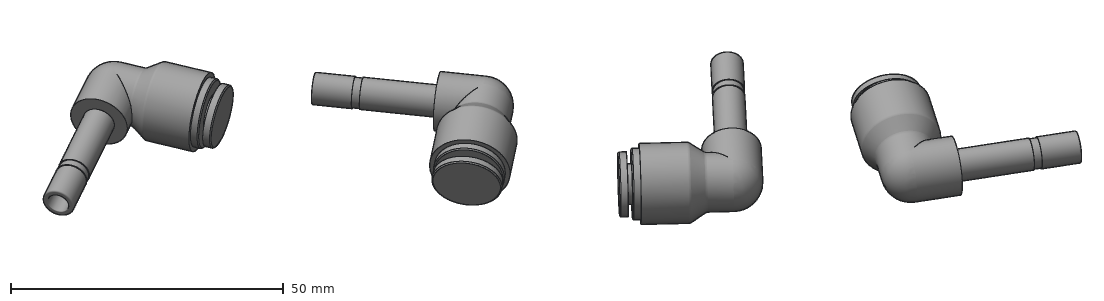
import cadquery as cq

OVERALL_LENGTH = 38.95
OVERALL_WIDTH = 26.45

ELBOW_RADIUS = 11.0 / 2
ELBOW_FACE_DISTANCE = 8.5
BARREL_RADIUS = 14.9 / 2
FLARE_START_X = 5.0
BARREL_START_X = 8.02
BARREL_END_X = 17.05
FLARE_BLEND_RADIUS = 0.78
FLARE_EDGE_MARGIN = 0.4

STEM_RADIUS = 6.0 / 2
STEM_BORE_RADIUS = 4.0 / 2
STEM_TIP_DISTANCE = OVERALL_LENGTH - BARREL_RADIUS
STEM_LENGTH = STEM_TIP_DISTANCE - ELBOW_FACE_DISTANCE
STEM_TIP_RADIUS = 0.3
BORE_EDGE_RADIUS = 0.1
GROOVE_RADIUS = 5.7 / 2
GROOVE_WIDTH = 1.48
GROOVE_TO_TIP = 7.45
GROOVE_START_DISTANCE = STEM_TIP_DISTANCE - GROOVE_TO_TIP - GROOVE_WIDTH

RING_RADIUS = 13.15 / 2
RING_LENGTH = 1.5
RING_EDGE_CHAMFER = 0.25

NECK_RADIUS = 7.5 / 2
NECK_ROOT_RADIUS = 0.08
FLANGE_THICKNESS = 1.55
FLANGE_WIDTH = 12.97
FLANGE_HEIGHT = 11.0
FLANGE_EDGE_CHAMFER = 0.25
FLANGE_START_X = OVERALL_WIDTH - ELBOW_RADIUS - FLANGE_THICKNESS


def plane_across_socket(x):
    """Plane at X = x that faces +X, with local x along Y and local y along Z."""
    return cq.Workplane("YZ", origin=(x, 0, 0))


def plane_across_stem(distance):
    """Plane at Y = -distance that faces -Y, away from the elbow."""
    return cq.Workplane("XZ", origin=(0, -distance, 0))


def make_barrel():
    """Elbow arm, flare and barrel turned about X, with blended flare corners."""
    profile = (
        cq.Workplane("XY")
        .moveTo(0, 0)
        .lineTo(0, ELBOW_RADIUS)
        .lineTo(FLARE_START_X, ELBOW_RADIUS)
        .lineTo(BARREL_START_X, BARREL_RADIUS)
        .lineTo(BARREL_END_X, BARREL_RADIUS)
        .lineTo(BARREL_END_X, 0)
        .close()
    )
    barrel = profile.revolve(360, (0, 0, 0), (1, 0, 0))
    flare_zone = cq.selectors.BoxSelector(
        (FLARE_START_X - FLARE_EDGE_MARGIN, -BARREL_RADIUS, -BARREL_RADIUS),
        (BARREL_START_X + FLARE_EDGE_MARGIN, BARREL_RADIUS, BARREL_RADIUS),
    )
    return barrel.edges("%CIRCLE").edges(flare_zone).fillet(FLARE_BLEND_RADIUS)


def make_stem():
    """Tube from the elbow face to the tip, with rounded tip edges and a ring groove."""
    tube = plane_across_stem(ELBOW_FACE_DISTANCE).circle(STEM_RADIUS).extrude(STEM_LENGTH)
    tube = tube.faces("<Y").edges().fillet(STEM_TIP_RADIUS)
    bore = plane_across_stem(ELBOW_FACE_DISTANCE).circle(STEM_BORE_RADIUS).extrude(STEM_LENGTH)
    groove = (
        plane_across_stem(GROOVE_START_DISTANCE)
        .circle(STEM_RADIUS)
        .circle(GROOVE_RADIUS)
        .extrude(GROOVE_WIDTH)
    )
    bored_tube = tube.cut(bore).cut(groove)
    bore_edge = cq.selectors.RadiusNthSelector(0)
    return bored_tube.faces("<Y").edges(bore_edge).fillet(BORE_EDGE_RADIUS)


def make_housing():
    """Elbow with a ball corner, joined to the barrel and to the plug-in stem."""
    corner = cq.Workplane("XY").sphere(ELBOW_RADIUS)
    stem_arm = plane_across_stem(0).circle(ELBOW_RADIUS).extrude(ELBOW_FACE_DISTANCE)
    return make_barrel().union(stem_arm).union(corner).union(make_stem())


def make_guide_ring():
    """Ring on the barrel end with a chamfered outer rim and a hole for the neck."""
    disc = plane_across_socket(BARREL_END_X).circle(RING_RADIUS).extrude(RING_LENGTH)
    disc = disc.faces(">X").edges().chamfer(RING_EDGE_CHAMFER)
    neck_hole = plane_across_socket(BARREL_END_X).circle(NECK_RADIUS).extrude(RING_LENGTH)
    return disc.cut(neck_hole)


def make_release_button():
    """Neck from the barrel end through the guide ring, and the oval flange that is pressed."""
    neck_length = FLANGE_START_X - BARREL_END_X
    neck = plane_across_socket(BARREL_END_X).circle(NECK_RADIUS).extrude(neck_length)
    flange = (
        plane_across_socket(FLANGE_START_X)
        .ellipse(FLANGE_WIDTH / 2, FLANGE_HEIGHT / 2)
        .extrude(FLANGE_THICKNESS)
        .faces(">X")
        .edges()
        .chamfer(FLANGE_EDGE_CHAMFER)
    )
    button = neck.union(flange)
    return button.edges("%CIRCLE").edges(">X").fillet(NECK_ROOT_RADIUS)


housing = make_housing()
guide_ring = make_guide_ring()
release_button = make_release_button()

bodies = [housing, guide_ring, release_button]
result = cq.Compound.makeCompound([body.solids().val() for body in bodies])